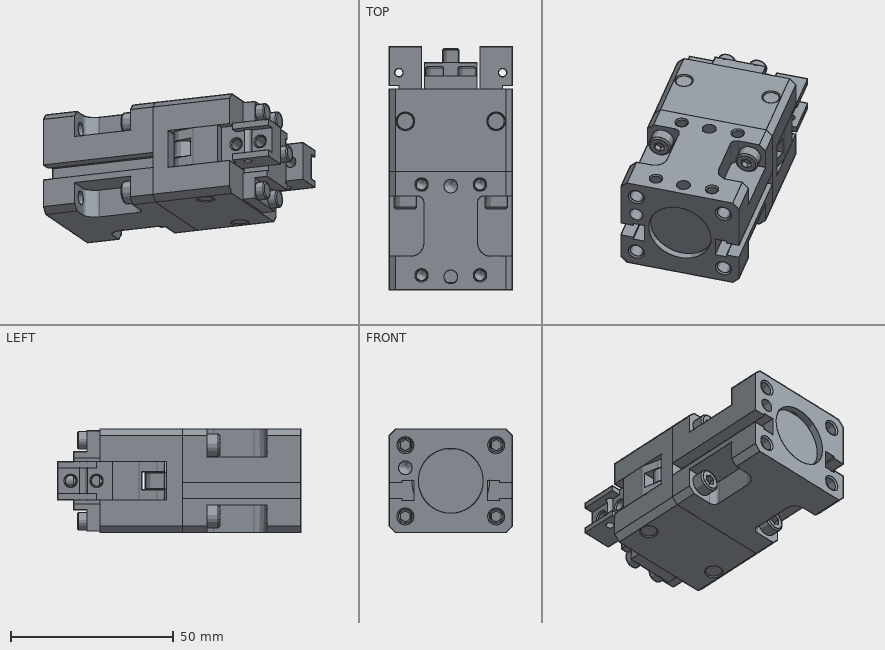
import cadquery as cq
import math


block_width = 38.0
block_height = 32.0
edge_chamfer = 2.0
cylinder_length = 36.5
housing_length = 25.5
housing_end = cylinder_length + housing_length
finger_end = 75.0

recess_start = 10.4
recess_end = 29.0
recess_wall_x = 8.3
recess_floor_z = 7.4
recess_front_radius = 4.0
recess_rear_radius = 2.0

screw_x = 14.0
screw_z = 11.0
screw_head_diameter = 7.0
screw_head_length = 4.0
screw_head_chamfer = 0.5
socket_flats = 3.0
socket_depth = 2.0
front_thread_diameter = 4.2
front_thread_chamfer = 0.5

cap_diameter = 20.0
cap_depth = 2.3
groove_z = -3.0
groove_mouth_height = 4.8
groove_mouth_depth = 4.0
groove_inner_height = 6.3
groove_depth = 7.6
port_diameter = 4.2
port_depth = 6.0
front_port_x = -14.0
front_port_z = 4.0
top_port_stations = (4.0, 32.0)
mount_thread_x = 9.0
mount_thread_stations = (4.5, 32.5)
mount_thread_diameter = 3.3
mount_thread_chamfer = 0.4
mount_thread_depth = 6.0
drill_point_angle = 118.0

slot_height = 11.8
slot_start = 41.5
pivot_x = 14.0
pivot_y = 52.0
pivot_diameter = 5.0
pivot_recess = 0.35
finger_inner_x = 9.0
finger_outer_x = block_width / 2
finger_taper_y = 49.9
web_outer_x = 16.0
web_start = 58.1
flange_start = 63.0
flange_thickness = 1.95
tip_radius = 3.0
tip_x = 14.75
tip_y = 45.0
fork_height = 5.5
fork_end = 49.0
dowel_hole_diameter = 2.5
dowel_hole_y = 67.0
finger_thread_diameter = 3.3
finger_thread_chamfer = 0.4
finger_thread_stations = (63.0, 71.0)

piston_diameter = 24.0
piston_length = tip_y - tip_radius - cylinder_length
piston_notch_depth = 0.8
bar_thickness = 5.0

plate_width = 16.2
plate_height = 31.0
plate_thickness = 4.0
boss_height = 18.0
boss_thickness = 4.1
plate_relief_height = 14.2
plate_relief_depth = 1.0
plate_screw_x = 5.0
plate_screw_z = 12.5
plate_screw_diameter = 5.5
plate_screw_length = 2.9
stud_diameter = 5.0
stud_length = 4.3
rear_head_chamfer = 0.4

SIDES = (-1, 1)


def box(x_range, y_range, z_range):
    """Box between the given limits on each axis."""
    size = [limits[1] - limits[0] for limits in (x_range, y_range, z_range)]
    corner = (x_range[0], y_range[0], z_range[0])
    return cq.Workplane("XY").box(*size, centered=False).translate(corner)


def rod_along(start, direction, diameter, length, end_chamfer=0.0):
    """Round rod from a start point, with an optional chamfer on its far end."""
    rod = cq.Workplane(cq.Plane(start, normal=direction)).circle(diameter / 2).extrude(length)
    if end_chamfer:
        end_center = cq.Vector(*start) + cq.Vector(*direction) * length
        rod = rod.edges(cq.selectors.NearestToPointSelector(end_center.toTuple())).chamfer(end_chamfer)
    return rod


def cone_along(start, direction, start_diameter, length, end_diameter=0.0):
    """Cone from a start point, narrowing to the end diameter."""
    cone = cq.Solid.makeCone(
        start_diameter / 2, end_diameter / 2, length, pnt=cq.Vector(*start), dir=cq.Vector(*direction)
    )
    return cq.Workplane(cone)


def countersink(start, direction, hole_diameter, chamfer):
    """45 degree chamfer cutter for the mouth of a hole."""
    return cone_along(start, direction, hole_diameter + 2 * chamfer, chamfer, hole_diameter)


def drilled_hole(start, direction, diameter, depth):
    """Cutter for a blind hole with a drill point at the bottom."""
    point_length = diameter / 2 / math.tan(math.radians(drill_point_angle / 2))
    bottom = cq.Vector(*start) + cq.Vector(*direction) * depth
    point = cone_along(bottom.toTuple(), direction, diameter, point_length)
    return rod_along(start, direction, diameter, depth).union(point)


def chamfered_block(y_start, length):
    """Block of the common section with its four long edges chamfered."""
    block = box(
        (-block_width / 2, block_width / 2),
        (y_start, y_start + length),
        (-block_height / 2, block_height / 2),
    )
    return block.edges("|Y").chamfer(edge_chamfer)


def corner_recess(side, level):
    """Cutter for one corner recess of the cylinder, open outward in X and Z."""
    inner_x = side * recess_wall_x
    x_range = sorted((inner_x, side * block_width))
    z_range = sorted((level * recess_floor_z, level * block_height))
    pocket = box(x_range, (recess_start, recess_end), z_range)
    middle_z = sum(z_range) / 2
    for y, radius in ((recess_start, recess_front_radius), (recess_end, recess_rear_radius)):
        pocket = pocket.edges(cq.selectors.NearestToPointSelector((inner_x, y, middle_z))).fillet(radius)
    return pocket


def assembly_screw_head(side, level):
    """Socket screw head standing on the rear wall of a corner recess."""
    seat = (side * screw_x, recess_end, level * screw_z)
    head = rod_along(seat, (0, -1, 0), screw_head_diameter, screw_head_length, screw_head_chamfer)
    socket_bottom = recess_end - screw_head_length + socket_depth
    socket_plane = cq.Plane((seat[0], socket_bottom, seat[2]), xDir=(0, 0, 1), normal=(0, -1, 0))
    hexagon_diameter = socket_flats / math.cos(math.pi / 6)
    socket = cq.Workplane(socket_plane).polygon(6, hexagon_diameter).extrude(socket_depth)
    return head.cut(socket)


def sensor_groove(side):
    """Cutter for the T-shaped sensor groove along one side of the cylinder."""
    outer_x = side * block_width / 2
    lip_x = outer_x - side * groove_mouth_depth
    bottom_x = outer_x - side * groove_depth
    length = (0, cylinder_length)
    mouth_z = (groove_z - groove_mouth_height / 2, groove_z + groove_mouth_height / 2)
    inner_z = (groove_z - groove_inner_height / 2, groove_z + groove_inner_height / 2)
    mouth = box(sorted((outer_x, lip_x)), length, mouth_z)
    return mouth.union(box(sorted((lip_x, bottom_x)), length, inner_z))


def make_cylinder():
    cylinder = chamfered_block(0, cylinder_length)
    cylinder = cylinder.cut(rod_along((0, 0, 0), (0, 1, 0), cap_diameter, cap_depth))

    for side in SIDES:
        cylinder = cylinder.cut(sensor_groove(side))
        for level in SIDES:
            mouth = (side * screw_x, 0, level * screw_z)
            cylinder = cylinder.cut(corner_recess(side, level))
            cylinder = cylinder.cut(rod_along(mouth, (0, 1, 0), front_thread_diameter, recess_start))
            cylinder = cylinder.cut(
                countersink(mouth, (0, 1, 0), front_thread_diameter, front_thread_chamfer)
            )
            cylinder = cylinder.union(assembly_screw_head(side, level))

    front_port = (front_port_x, 0, front_port_z)
    cylinder = cylinder.cut(drilled_hole(front_port, (0, 1, 0), port_diameter, port_depth))
    top_z = block_height / 2
    for y in top_port_stations:
        cylinder = cylinder.cut(drilled_hole((0, y, top_z), (0, 0, -1), port_diameter, port_depth))

    for y in mount_thread_stations:
        for side in SIDES:
            mouth = (side * mount_thread_x, y, top_z)
            cylinder = cylinder.cut(
                drilled_hole(mouth, (0, 0, -1), mount_thread_diameter, mount_thread_depth)
            )
            cylinder = cylinder.cut(
                countersink(mouth, (0, 0, -1), mount_thread_diameter, mount_thread_chamfer)
            )
    return cylinder


def make_housing():
    housing = chamfered_block(cylinder_length, housing_length)
    housing = housing.cut(
        box(
            (-block_width / 2, block_width / 2),
            (slot_start, housing_end),
            (-slot_height / 2, slot_height / 2),
        )
    )
    piston_foot = (0, cylinder_length, 0)
    housing = housing.cut(rod_along(piston_foot, (0, 1, 0), piston_diameter, piston_length))

    for side in SIDES:
        foot = (side * pivot_x, pivot_y, -slot_height / 2)
        housing = housing.union(rod_along(foot, (0, 0, 1), pivot_diameter, slot_height))
        for level in SIDES:
            mouth = (side * pivot_x, pivot_y, level * block_height / 2)
            housing = housing.cut(countersink(mouth, (0, 0, -level), pivot_diameter, pivot_recess))
    return housing


def make_finger(side):
    """Finger with a forked round tip, a pivot bore and an H-section jaw."""
    taper_run = finger_taper_y - tip_y
    taper_offset = finger_outer_x - tip_x
    tangent_angle = math.atan2(taper_run, taper_offset) - math.acos(
        tip_radius / math.hypot(taper_offset, taper_run)
    )

    def on_tip(angle):
        return (tip_x + tip_radius * math.cos(angle), tip_y + tip_radius * math.sin(angle))

    blank = (
        cq.Workplane("XY", origin=(0, 0, -slot_height / 2))
        .moveTo(finger_inner_x, finger_end)
        .lineTo(finger_outer_x, finger_end)
        .lineTo(finger_outer_x, finger_taper_y)
        .lineTo(*on_tip(tangent_angle))
        .threePointArc(on_tip(-math.pi / 2), on_tip(math.pi))
        .lineTo(finger_inner_x, finger_taper_y)
        .close()
        .extrude(slot_height)
    )

    flange_inner_z = slot_height / 2 - flange_thickness
    channel_x = (web_outer_x, finger_outer_x)
    blank = blank.cut(box(channel_x, (web_start, finger_end), (-flange_inner_z, flange_inner_z)))
    blank = blank.cut(box(channel_x, (web_start, flange_start), (-slot_height / 2, slot_height / 2)))

    fork_x = (finger_inner_x, finger_outer_x)
    blank = blank.cut(box(fork_x, (tip_y - tip_radius, fork_end), (-fork_height / 2, fork_height / 2)))
    bottom_z = -slot_height / 2
    pivot_foot = (pivot_x, pivot_y, bottom_z)
    blank = blank.cut(rod_along(pivot_foot, (0, 0, 1), pivot_diameter, slot_height))

    dowel_foot = (web_outer_x, dowel_hole_y, bottom_z)
    blank = blank.cut(rod_along(dowel_foot, (0, 0, 1), dowel_hole_diameter, slot_height))
    web_thickness = web_outer_x - finger_inner_x
    for y in finger_thread_stations:
        mouth = (web_outer_x, y, 0)
        blank = blank.cut(rod_along(mouth, (-1, 0, 0), finger_thread_diameter, web_thickness))
        blank = blank.cut(
            countersink(mouth, (-1, 0, 0), finger_thread_diameter, finger_thread_chamfer)
        )

    return blank if side > 0 else blank.mirror("YZ")


def make_driver():
    piston_foot = (0, cylinder_length, 0)
    driver = rod_along(piston_foot, (0, 1, 0), piston_diameter, piston_length)
    piston_end = cylinder_length + piston_length
    bar_z = (-bar_thickness / 2, bar_thickness / 2)

    for side in SIDES:
        flank_x = side * piston_diameter / 2
        notch_x = sorted((flank_x, flank_x - side * piston_notch_depth))
        driver = driver.cut(box(notch_x, (slot_start, piston_end), bar_z))

    bar = (
        cq.Workplane("XY", origin=(0, tip_y, bar_z[0]))
        .slot2D(2 * (tip_x + tip_radius), 2 * tip_radius)
        .extrude(bar_thickness)
    )
    return driver.union(bar)


def make_end_plate():
    half_width = plate_width / 2
    step_y = housing_end + plate_thickness
    boss_y = step_y + boss_thickness
    plate = box((-half_width, half_width), (housing_end, step_y), (-plate_height / 2, plate_height / 2))
    plate = plate.union(
        box((-half_width, half_width), (step_y, boss_y), (-boss_height / 2, boss_height / 2))
    )

    for side in SIDES:
        relief_x = sorted((side * half_width, side * (half_width - plate_relief_depth)))
        relief_z = (-plate_relief_height / 2, plate_relief_height / 2)
        plate = plate.cut(box(relief_x, (housing_end, boss_y), relief_z))
        for level in SIDES:
            seat = (side * plate_screw_x, step_y, level * plate_screw_z)
            plate = plate.union(
                rod_along(seat, (0, 1, 0), plate_screw_diameter, plate_screw_length, rear_head_chamfer)
            )

    stud = rod_along((0, boss_y, 0), (0, 1, 0), stud_diameter, stud_length, rear_head_chamfer)
    return plate.union(stud)


cylinder = make_cylinder()
housing = make_housing()
fingers = [make_finger(side) for side in SIDES]
driver = make_driver()
end_plate = make_end_plate()

result = cq.Compound.makeCompound(
    [
        cylinder.solids().val(),
        housing.solids().val(),
        *[finger.solids().val() for finger in fingers],
        driver.solids().val(),
        end_plate.solids().val(),
    ]
)